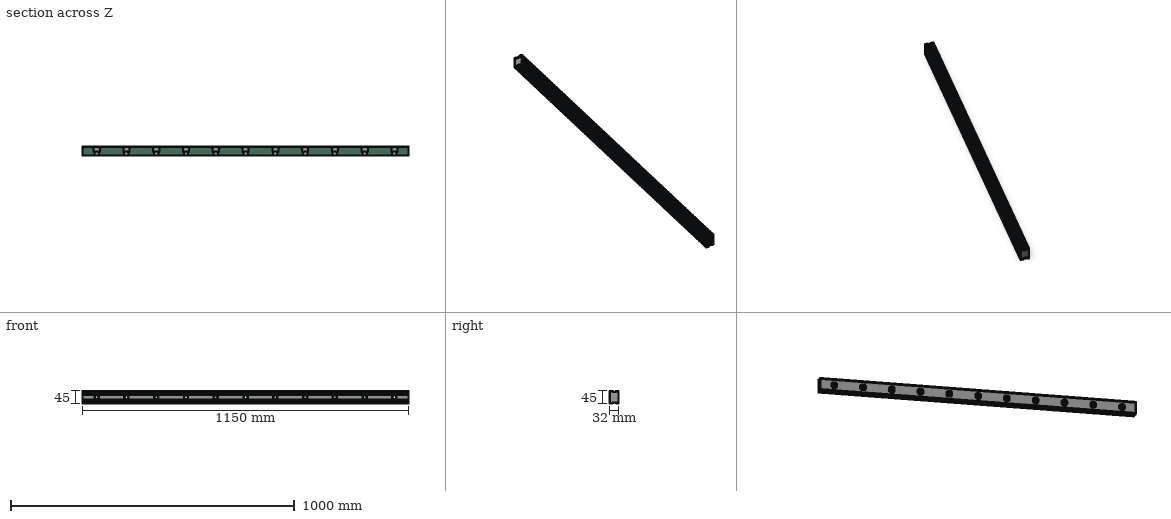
import cadquery as cq

LENGTH = 1150.0
HEIGHT = 32.0
WIDTH = 45.0
HALF_WIDTH = WIDTH / 2

BASE_CHAMFER = 2.1
BASE_TOP = 9.0

CHANNEL_INNER = 8.0
CHANNEL_OUTER = 15.6
CHANNEL_DEPTH = 1.0

WAIST_HALF_WIDTH = 18.9
WAIST_TOP = 19.8

HEAD_BOTTOM = 24.2
HEAD_CHAMFER_HEIGHT = 2.2
HEAD_CHAMFER_WIDTH = 3.5

RACEWAY_CENTER = 26.5
RACEWAY_MOUTH = 3.0
RACEWAY_FLOOR = 2.4
RACEWAY_DEPTH = 2.2

HOLE_COUNT = 11
HOLE_PITCH = 105.0
HOLE_DIAMETER = 14.0
COUNTERBORE_DIAMETER = 20.0
COUNTERBORE_DEPTH = 17.0


def rail_body():
    """Extrude the symmetric rail section, drawn as (Y, Z) points, along the length."""
    waist_bottom = BASE_TOP + HALF_WIDTH - WAIST_HALF_WIDTH
    raceway_half_width = HALF_WIDTH - RACEWAY_DEPTH
    upper_half = [
        (0, CHANNEL_INNER),
        (CHANNEL_DEPTH, CHANNEL_INNER),
        (CHANNEL_DEPTH, CHANNEL_OUTER),
        (0, CHANNEL_OUTER),
        (0, HALF_WIDTH - BASE_CHAMFER),
        (BASE_CHAMFER, HALF_WIDTH),
        (BASE_TOP, HALF_WIDTH),
        (waist_bottom, WAIST_HALF_WIDTH),
        (WAIST_TOP, WAIST_HALF_WIDTH),
        (HEAD_BOTTOM, HALF_WIDTH),
        (RACEWAY_CENTER - RACEWAY_MOUTH / 2, HALF_WIDTH),
        (RACEWAY_CENTER - RACEWAY_FLOOR / 2, raceway_half_width),
        (RACEWAY_CENTER + RACEWAY_FLOOR / 2, raceway_half_width),
        (RACEWAY_CENTER + RACEWAY_MOUTH / 2, HALF_WIDTH),
        (HEIGHT - HEAD_CHAMFER_HEIGHT, HALF_WIDTH),
        (HEIGHT, HALF_WIDTH - HEAD_CHAMFER_WIDTH),
    ]
    lower_half = [(y, -z) for y, z in reversed(upper_half)]
    return cq.Workplane("YZ").polyline(upper_half + lower_half).close().extrude(LENGTH / 2, both=True)


def drill_mounting_holes(body):
    """Cut the row of bolt holes, counterbored from the head face."""
    first_x = -HOLE_PITCH * (HOLE_COUNT - 1) / 2
    into_rail = cq.Vector(0, -1, 0)
    for index in range(HOLE_COUNT):
        center = cq.Vector(first_x + index * HOLE_PITCH, HEIGHT, 0)
        hole = cq.Solid.makeCylinder(HOLE_DIAMETER / 2, HEIGHT, center, into_rail)
        counterbore = cq.Solid.makeCylinder(COUNTERBORE_DIAMETER / 2, COUNTERBORE_DEPTH, center, into_rail)
        body = body.cut(cq.Workplane(hole)).cut(cq.Workplane(counterbore))
    return body


result = drill_mounting_holes(rail_body())